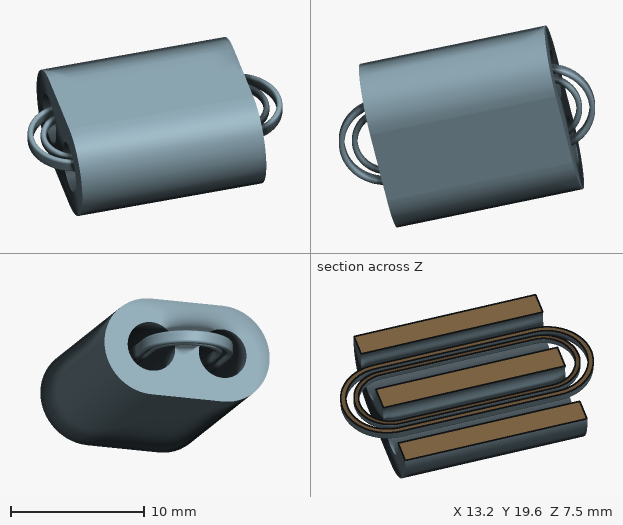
import cadquery as cq

core_width = 13.2
core_height = 7.5
core_length = 14.33
bore_diameter = 3.8
bore_spacing = core_width - core_height

loop_center = (-0.14, 0.31, 0.24)
outer_loop_length = 19.6
outer_loop_width = 7.02
band_thickness = 0.43
band_height = 1.0
band_edge_radius = 0.2
inner_loop_length = 17.62
inner_loop_width = 5.55
strip_thickness = band_thickness
strip_height = 0.7


def make_core():
    """Obround block centred on the origin, with a bore at each end of its profile."""
    block = (
        cq.Workplane("XZ")
        .slot2D(core_width, core_height)
        .extrude(core_length / 2, both=True)
    )
    bores = (
        cq.Workplane("XZ")
        .pushPoints([(-bore_spacing / 2, 0), (bore_spacing / 2, 0)])
        .circle(bore_diameter / 2)
        .extrude(core_length / 2, both=True)
    )
    return block.cut(bores)


def make_outer_loop():
    """Flat closed band, longest along Y, with its four long edges rounded."""
    inside_length = outer_loop_length - 2 * band_thickness
    inside_width = outer_loop_width - 2 * band_thickness
    band = (
        cq.Workplane("XY")
        .slot2D(outer_loop_length, outer_loop_width, 90)
        .slot2D(inside_length, inside_width, 90)
        .extrude(band_height / 2, both=True)
    )
    return band.faces("|Z").edges().fillet(band_edge_radius).translate(loop_center)


def make_inner_loop():
    """Closed loop of upright strip with fully rounded top and bottom, longest along Y."""
    bend_radius = (inner_loop_width - strip_thickness) / 2
    straight_end = (inner_loop_length - inner_loop_width) / 2
    centerline = (
        cq.Workplane("XY")
        .moveTo(bend_radius, -straight_end)
        .lineTo(bend_radius, straight_end)
        .threePointArc((0, straight_end + bend_radius), (-bend_radius, straight_end))
        .lineTo(-bend_radius, -straight_end)
        .threePointArc((0, -straight_end - bend_radius), (bend_radius, -straight_end))
        .close()
    )
    strip_section = (
        cq.Workplane("XZ", origin=(bend_radius, -straight_end, 0))
        .slot2D(strip_height, strip_thickness, 90)
    )
    return strip_section.sweep(centerline).translate(loop_center)


core = make_core()
outer_loop = make_outer_loop()
inner_loop = make_inner_loop()

result = cq.Compound.makeCompound([core.val(), outer_loop.val(), inner_loop.val()])